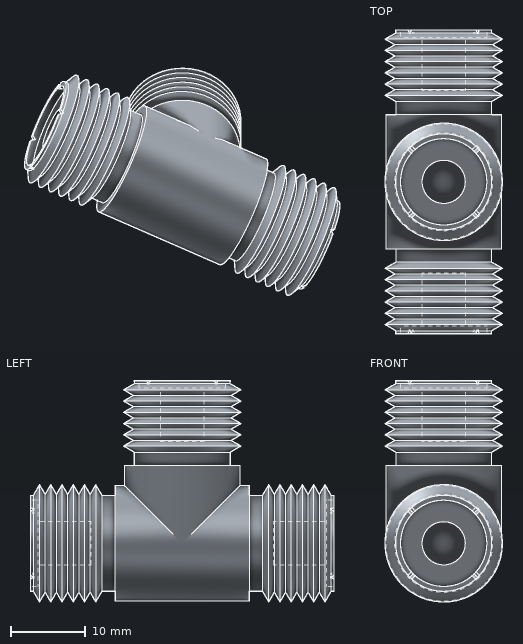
import cadquery as cq
import math

overall_length = 41.0
overall_height = 29.9
crest_diameter = 15.87
body_diameter = 15.63
neck_diameter = 12.95

thread_count = 6
thread_pitch = 1.5
thread_angle = 60
lip_length = 0.4

port_length = 11.45
recess_diameter = 11.65
recess_depth = 1.03
bore_diameter = 5.82
bore_depth = 8.2
notch_count = 4
notch_width = 0.75
notch_depth = 0.5

crest_radius = crest_diameter / 2
body_radius = body_diameter / 2
neck_radius = neck_diameter / 2
run_end = overall_length / 2
branch_end = overall_height - crest_radius
flank_slope = math.tan(math.radians(thread_angle / 2))


def port_profile(end):
    """Radius and height points of a port, from the centre of its end face down to the neck."""
    flank_length = (crest_radius - neck_radius) * flank_slope
    trough_radius = crest_radius - thread_pitch / 2 / flank_slope
    first_crest = end - lip_length - flank_length
    last_crest = first_crest - (thread_count - 1) * thread_pitch

    points = [(0, end), (neck_radius, end), (neck_radius, end - lip_length)]
    for i in range(thread_count - 1):
        crest_z = first_crest - i * thread_pitch
        points.append((crest_radius, crest_z))
        points.append((trough_radius, crest_z - thread_pitch / 2))
    points.append((crest_radius, last_crest))
    points.append((neck_radius, last_crest - flank_length))
    return points


def solid_arm(end):
    """Solid arm along +Z, from the tee centre to its end face."""
    shoulder_z = end - port_length
    profile = port_profile(end)
    profile += [(neck_radius, shoulder_z), (body_radius, shoulder_z), (body_radius, 0), (0, 0)]
    return cq.Workplane("XZ").polyline(profile).close().revolve(360, (0, 0, 0), (0, 1, 0))


def port_cut(end):
    """Recess, blind bore and V notches in the rim, removed from the end of an arm along +Z."""
    end_face = cq.Workplane("XY").workplane(offset=end)
    recess = end_face.circle(recess_diameter / 2).extrude(-recess_depth)
    bore = end_face.circle(bore_diameter / 2).extrude(-bore_depth)
    cut = recess.union(bore)

    notch = (
        cq.Workplane("YZ")
        .polyline([(-notch_width / 2, end), (notch_width / 2, end), (0, end - notch_depth)])
        .close()
        .extrude(crest_radius)
    )
    notch_spacing = 360 / notch_count
    for i in range(notch_count):
        cut = cut.union(notch.rotate((0, 0, 0), (0, 0, 1), (i + 0.5) * notch_spacing))
    return cut


def on_each_arm(make_shape):
    """A shape made along +Z, placed on both run arms and on the upward branch."""
    run_shape = make_shape(run_end)
    front = run_shape.rotate((0, 0, 0), (1, 0, 0), 90)
    back = run_shape.rotate((0, 0, 0), (1, 0, 0), -90)
    return [front, back, make_shape(branch_end)]


front_arm, back_arm, branch_arm = on_each_arm(solid_arm)
result = front_arm.union(back_arm).union(branch_arm)
for cut in on_each_arm(port_cut):
    result = result.cut(cut)